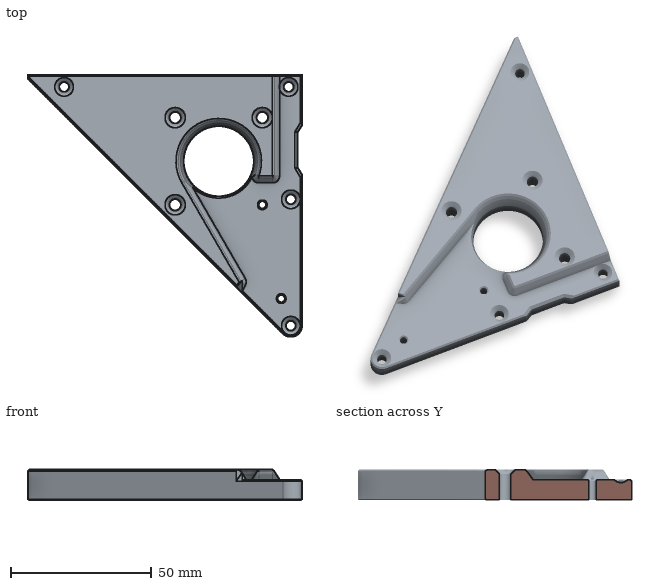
import cadquery as cq
import math

length = 97.9
width = 93.7
full_height = 11.0
floor_height = 7.3
right_x = 29.8
back_y = 30.9
left_x = right_x - length
front_y = back_y - width
tip_radius = 4.0
tip_x = right_x - tip_radius
tip_y = front_y + tip_radius
tip_diagonal = tip_radius * math.sqrt(0.5)
hypotenuse_sum = tip_x + tip_y - 2 * tip_diagonal
top_chamfer = 0.6
bottom_chamfer = 0.4
tolerance = 0.01

pad_right_x = 19.2
pad_end_y = -5.2
pad_arc_radius = 15.3
pad_corner = (7.2, -43.1)
pad_end_lean = 0.5
wall_bevel = 0.7
wall_run = 1.9
relief_start_x = 6.2
relief_length = 5.9
overhang = 58.7

bore_diameter = 25.0
cone_bottom_z = 5.5
cone_slope = 0.37

notch_center_y = 4.0
notch_depth = 1.6
notch_outer_half = 8.8
notch_inner_half = 6.3
notch_chamfer = 1.0

pattern_offset = 15.6
pattern_holes = [(-pattern_offset, pattern_offset), (pattern_offset, pattern_offset),
                 (-pattern_offset, -pattern_offset)]
pattern_diameter = 4.0
pattern_sink = 7.2
raised_mount_holes = [(-55.2, 26.5)]
low_mount_holes = [(25.0, 26.5), (tip_x, -13.6), (tip_x, tip_y)]
mount_diameter = 3.4
mount_sink = 6.7
pin_holes = [(pattern_offset, -pattern_offset), (22.3, -49.1)]
pin_diameter = 2.5
pin_sink = 3.4


def plate(height):
    """Triangular plate with a rounded front tip and a chamfered underside."""
    outline = (
        cq.Workplane("XY")
        .moveTo(left_x, back_y)
        .lineTo(left_x, hypotenuse_sum - left_x)
        .lineTo(tip_x - tip_diagonal, tip_y - tip_diagonal)
        .threePointArc((tip_x + tip_diagonal, tip_y - tip_diagonal), (right_x, tip_y))
        .lineTo(right_x, back_y)
        .close()
    )
    return outline.extrude(height).faces("<Z").chamfer(bottom_chamfer)


def on_rim(edge):
    """True for the upper edges that lie on the outer side walls."""
    point = edge.positionAt(0.5)
    side_gaps = (
        point.x - left_x,
        point.x - right_x,
        point.y - back_y,
        point.x + point.y - hypotenuse_sum,
        math.hypot(point.x - tip_x, point.y - tip_y) - tip_radius,
    )
    above_underside = edge.BoundingBox().zmin > floor_height - tolerance
    return above_underside and min(abs(gap) for gap in side_gaps) < tolerance


def chamfer_rim(body):
    """Chamfer the upper rim, following the step from the floor up to the pad."""
    rim = [edge for edge in body.edges().vals() if on_rim(edge)]
    return body.newObject(rim).chamfer(top_chamfer)


def pad_outline(z):
    """Top outline of the pad, running past the plate on its outer sides."""
    corner_distance = math.hypot(*pad_corner)
    tangent_angle = math.atan2(pad_corner[1], pad_corner[0]) - math.acos(pad_arc_radius / corner_distance)
    tangent = (pad_arc_radius * math.cos(tangent_angle), pad_arc_radius * math.sin(tangent_angle))
    arc_start_x = math.sqrt(pad_arc_radius**2 - pad_end_y**2)
    return (
        cq.Workplane("XY", origin=(0, 0, z))
        .moveTo(pad_right_x, pad_end_y)
        .lineTo(arc_start_x, pad_end_y)
        .threePointArc((0, pad_arc_radius), tangent)
        .lineTo(*pad_corner)
        .lineTo(pad_corner[0] - pad_end_lean * overhang, pad_corner[1] - overhang)
        .lineTo(left_x - overhang, pad_corner[1] - overhang)
        .lineTo(left_x - overhang, back_y + overhang)
        .lineTo(pad_right_x, back_y + overhang)
        .close()
    )


def pad_envelope():
    """Sloped-wall block that limits the pad, from the floor to the top face."""
    bevel_z = full_height - wall_bevel
    wall_drop = bevel_z - floor_height
    wall_angle = math.degrees(math.atan2(wall_run, wall_drop))
    bevel = pad_outline(full_height).extrude(-wall_bevel, taper=-45)
    slope = pad_outline(bevel_z).offset2D(wall_bevel).extrude(-wall_drop, taper=-wall_angle)
    return bevel.union(slope)


def pad_end_relief():
    """Wedge that carries the floor-level rim chamfer on up across the end of the pad."""
    start_z = floor_height - top_chamfer
    rise = full_height - start_z
    plane = cq.Plane(
        origin=(relief_start_x, hypotenuse_sum - relief_start_x, start_z),
        xDir=(1, 1, 0),
        normal=(1, -1, 0),
    )
    return (
        cq.Workplane(plane)
        .polyline([(0, 0), (rise, rise), (-rise, rise), (-rise, 0)])
        .close()
        .extrude(relief_length)
    )


def bore():
    """Straight bore that widens in a cone towards the top."""
    radius = bore_diameter / 2
    top_radius = radius + cone_slope * (full_height - cone_bottom_z)
    return (
        cq.Workplane("XZ")
        .polyline([(0, 0), (radius, 0), (radius, cone_bottom_z), (top_radius, full_height), (0, full_height)])
        .close()
        .revolve(360, (0, 0), (0, 1))
    )


def notch():
    """Shallow trapezoidal notch, chamfered along its upper edge."""
    def profile(z):
        outer_x = right_x + overhang
        slant = (notch_outer_half - notch_inner_half) / notch_depth
        outer_half = notch_inner_half + slant * (notch_depth + overhang)
        return (
            cq.Workplane("XY", origin=(0, notch_center_y, z))
            .polyline([
                (right_x - notch_depth, -notch_inner_half),
                (outer_x, -outer_half),
                (outer_x, outer_half),
                (right_x - notch_depth, notch_inner_half),
            ])
            .close()
        )

    chamfer = profile(floor_height - notch_chamfer).extrude(notch_chamfer, taper=-45)
    return profile(0).extrude(floor_height).union(chamfer)


def countersunk(body, points, diameter, sink_diameter, z):
    """Cut countersunk through holes entering from height z."""
    return (
        body.copyWorkplane(cq.Workplane("XY", origin=(0, 0, z)))
        .pushPoints(points)
        .cskHole(diameter, sink_diameter, 90)
    )


raised_pad = plate(full_height).intersect(pad_envelope())
result = chamfer_rim(plate(floor_height).union(raised_pad))
result = result.cut(pad_end_relief()).cut(bore()).cut(notch())
result = countersunk(result, pattern_holes, pattern_diameter, pattern_sink, full_height)
result = countersunk(result, raised_mount_holes, mount_diameter, mount_sink, full_height)
result = countersunk(result, low_mount_holes, mount_diameter, mount_sink, floor_height)
result = countersunk(result, pin_holes, pin_diameter, pin_sink, floor_height)